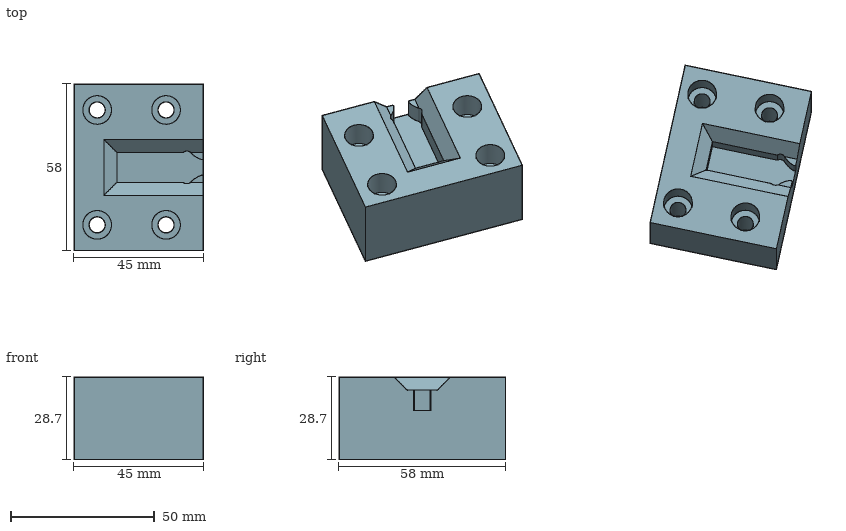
import cadquery as cq

length = 45.0
width = 58.0
height = 28.7

hole_diameter = 5.5
counterbore_diameter = 10.0
counterbore_depth = 10.0
hole_x_near = 8.0
hole_x_pitch = 24.0
hole_y_pitch = 40.0

pocket_half_width = 5.2
bevel = 4.5
wall_height = 7.0
pocket_start = 14.85
pocket_floor = height - bevel - wall_height

relief_start = 7.0
relief_middle = 5.75
relief_half_width = 5.7
lip_start = 4.4
lip_start_half_width = 5.15
lip_middle = 2.3
lip_middle_half_width = 3.5
lip_tip = 0.6
lip_tip_half_width = 2.7
lip_nose = 0.2
lip_nose_half_width = 2.85
mouth_half_width = 3.1


def block():
    return cq.Workplane("XY").box(length, width, height, centered=(False, True, False))


def screw_holes(body):
    middle_x = hole_x_near + hole_x_pitch / 2
    return (
        body.faces(">Z")
        .workplane(origin=(middle_x, 0, height))
        .rarray(hole_x_pitch, hole_y_pitch, 2, 2)
        .cboreHole(hole_diameter, counterbore_diameter, counterbore_depth)
    )


def pocket_bevel():
    """Sloped upper part of the pocket, with an equal slope on its closed end."""
    top_half_width = pocket_half_width + bevel
    channel = (
        cq.Workplane("YZ")
        .polyline([
            (-pocket_half_width, height - bevel),
            (pocket_half_width, height - bevel),
            (top_half_width, height),
            (-top_half_width, height),
        ])
        .close()
        .extrude(length)
    )
    end_slope = (
        cq.Workplane("XZ")
        .polyline([
            (pocket_start, height - bevel),
            (length, height - bevel),
            (length, height),
            (pocket_start - bevel, height),
        ])
        .close()
        .extrude(top_half_width, both=True)
    )
    return channel.intersect(end_slope)


def pocket_well():
    """Straight-walled lower part, with side reliefs and rounded lips at the mouth."""
    def mouth_point(setback, half_width):
        return (length - setback, half_width)

    half = (
        cq.Workplane("XY", origin=(0, 0, pocket_floor))
        .moveTo(pocket_start, 0)
        .lineTo(pocket_start, pocket_half_width)
        .lineTo(*mouth_point(relief_start, pocket_half_width))
        .threePointArc(
            mouth_point(relief_middle, relief_half_width),
            mouth_point(lip_start, lip_start_half_width),
        )
        .threePointArc(
            mouth_point(lip_middle, lip_middle_half_width),
            mouth_point(lip_tip, lip_tip_half_width),
        )
        .threePointArc(
            mouth_point(lip_nose, lip_nose_half_width),
            mouth_point(0, mouth_half_width),
        )
        .lineTo(length, 0)
        .close()
        .extrude(height - pocket_floor)
    )
    return half.union(half.mirror("XZ"))


result = screw_holes(block()).cut(pocket_bevel()).cut(pocket_well())